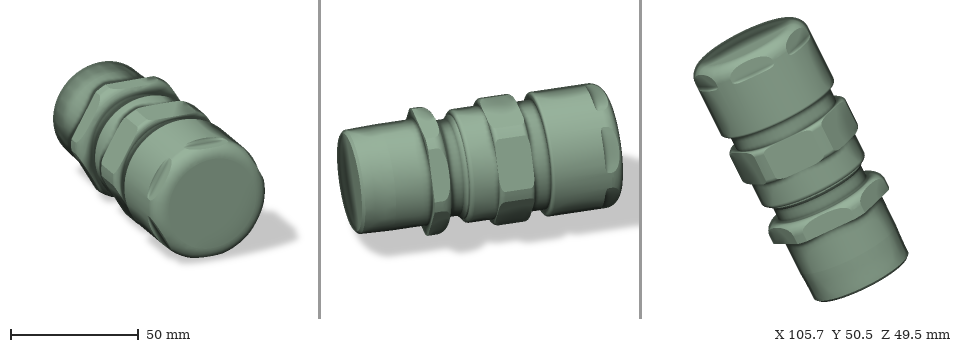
import cadquery as cq
import math

total_length = 105.7

across_flats = 46.0
hex_corner_radius = 50.5 / 2
hex_side_count = 6
cutter_reach = 31.7

entry_face_radius = 39.1 / 2
taper_start_x = 1.1
taper_start_radius = 41.3 / 2
taper_end_x = 13.4
thread_radius = 42.2 / 2
flange_start_x = 28.0
flange_end_x = 35.7
flange_front_fillet = 0.3
flange_rounding = 4.2
neck_radius = 38.4 / 2
neck_fillet = 0.7
neck_end_x = 41.3
shoulder_start_x = 42.7
shoulder_radius = 41.3 / 2

body_start_x = 43.3
barrel_radius = 45.1 / 2
barrel_rounding = 1.6
body_hex_start_x = 54.7
body_hex_end_x = 68.9
body_hex_rounding = 1.9
collar_radius = 43.5 / 2

cap_start_x = 76.0
cap_radius = 49.5 / 2
cap_front_rounding = 1.1
cap_end_rounding = 5.8
flat_start_x = 97.4
flat_root_fillet = 1.2


def revolve_about_x(profile):
    """Close an outline drawn in (x, radius) down to the axis and turn it about X."""
    return profile.close().revolve(360, (0, 0, 0), (1, 0, 0))


def outline_from(x):
    """Start a revolved outline on the axis."""
    return cq.Workplane("XY").moveTo(x, 0)


def corner_arc(profile, centre, radius, start_angle, end_angle):
    """Add a round corner, given by its centre and its start and end angles, to an outline."""
    points = []
    for angle in (start_angle, (start_angle + end_angle) / 2, end_angle):
        turn = math.radians(angle)
        points.append((centre[0] + radius * math.cos(turn), centre[1] + radius * math.sin(turn)))
    start, middle, end = points
    return profile.lineTo(*start).threePointArc(middle, end)


def hexagon_bar(start_x, end_x):
    """Hexagonal bar along X with corners on +Y and -Y and flats on +Z and -Z."""
    corner_to_corner = across_flats / math.cos(math.pi / hex_side_count)
    plane = cq.Workplane("YZ", origin=(start_x, 0, 0))
    return plane.polygon(hex_side_count, corner_to_corner).extrude(end_x - start_x)


def make_entry_flange():
    """Hexagon flange with its corners rounded off on the rear side."""
    outline = outline_from(flange_start_x).lineTo(flange_start_x, hex_corner_radius)
    rounding_centre = (flange_end_x - flange_rounding, hex_corner_radius - flange_rounding)
    outline = corner_arc(outline, rounding_centre, flange_rounding, 90, 0)
    envelope = revolve_about_x(outline.lineTo(flange_end_x, 0))
    return hexagon_bar(flange_start_x, flange_end_x).intersect(envelope)


def make_entry_fitting():
    """Tapered entry thread, hexagon flange, neck and shoulder in one piece."""
    thread = outline_from(0).lineTo(0, entry_face_radius)
    thread = thread.lineTo(taper_start_x, taper_start_radius).lineTo(taper_end_x, thread_radius)
    front_fillet_centre = (flange_start_x - flange_front_fillet, thread_radius + flange_front_fillet)
    thread = corner_arc(thread, front_fillet_centre, flange_front_fillet, -90, 0)
    thread = revolve_about_x(thread.lineTo(flange_start_x, 0))

    neck_fillet_centre = (flange_end_x + neck_fillet, neck_radius + neck_fillet)
    neck = corner_arc(outline_from(flange_end_x), neck_fillet_centre, neck_fillet, 180, 270)
    neck = neck.lineTo(neck_end_x, neck_radius).lineTo(shoulder_start_x, shoulder_radius)
    neck = neck.lineTo(body_start_x, shoulder_radius).lineTo(body_start_x, 0)
    neck = revolve_about_x(neck)

    return make_entry_flange().union(thread).union(neck)


def make_body_hexagon():
    """Hexagon of the middle body with its corners rounded off on both sides."""
    centre_radius = hex_corner_radius - body_hex_rounding
    front_centre = (body_hex_start_x + body_hex_rounding, centre_radius)
    rear_centre = (body_hex_end_x - body_hex_rounding, centre_radius)
    outline = corner_arc(outline_from(body_hex_start_x), front_centre, body_hex_rounding, 180, 90)
    outline = corner_arc(outline, rear_centre, body_hex_rounding, 90, 0)
    envelope = revolve_about_x(outline.lineTo(body_hex_end_x, 0))
    return hexagon_bar(body_hex_start_x, body_hex_end_x).intersect(envelope)


def make_middle_body():
    """Round barrel, hexagon and collar in one piece, ending against the cap."""
    barrel_centre = (body_start_x + barrel_rounding, barrel_radius - barrel_rounding)
    core = corner_arc(outline_from(body_start_x), barrel_centre, barrel_rounding, 180, 90)
    core = core.lineTo(body_hex_start_x, barrel_radius).lineTo(body_hex_start_x, collar_radius)
    core = core.lineTo(cap_start_x, collar_radius).lineTo(cap_start_x, 0)
    return revolve_about_x(core).union(make_body_hexagon())


def make_flat_cutter():
    """Cutter for the wrench flat on +Z, with a fillet between its end wall and its floor."""
    floor_z = across_flats / 2
    outer_z = cutter_reach
    fillet_centre = (flat_start_x + flat_root_fillet, floor_z + flat_root_fillet)
    outline = cq.Workplane("XZ").moveTo(flat_start_x, outer_z)
    outline = corner_arc(outline, fillet_centre, flat_root_fillet, 180, 270)
    outline = outline.lineTo(total_length, floor_z).lineTo(total_length, outer_z).close()
    return outline.extrude(cutter_reach, both=True)


def make_cap():
    """Round clamping cap with six wrench flats around its rounded end."""
    front_centre = (cap_start_x + cap_front_rounding, cap_radius - cap_front_rounding)
    end_centre = (total_length - cap_end_rounding, cap_radius - cap_end_rounding)
    outline = corner_arc(outline_from(cap_start_x), front_centre, cap_front_rounding, 180, 90)
    outline = corner_arc(outline, end_centre, cap_end_rounding, 90, 0)
    cap = revolve_about_x(outline.lineTo(total_length, 0))

    flat_cutter = make_flat_cutter()
    for index in range(hex_side_count):
        turn = index * 360 / hex_side_count
        cap = cap.cut(flat_cutter.rotate((0, 0, 0), (1, 0, 0), turn))
    return cap


entry_fitting = make_entry_fitting()
middle_body = make_middle_body()
cap = make_cap()

result = cq.Compound.makeCompound([entry_fitting.val(), middle_body.val(), cap.val()])